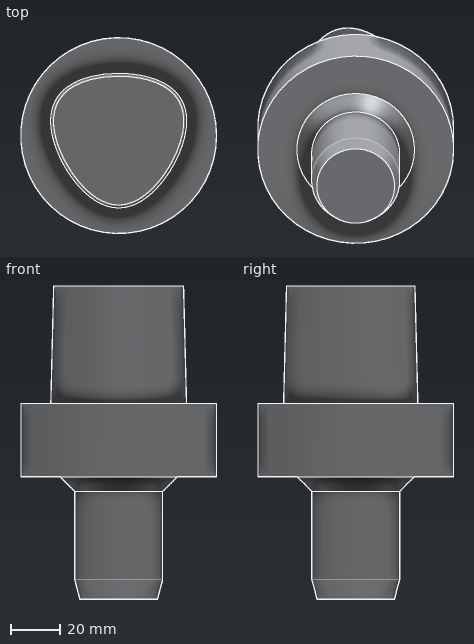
import cadquery as cq
import math

total_height = 128.0
tip_height = 8.0
collar_height = 6.0
flange_height = 30.0
taper_height = 48.0
shank_height = total_height - taper_height - flange_height - collar_height - tip_height

flange_radius = 80.0 / 2
shank_radius = 36.0 / 2
tip_radius = 31.7 / 2
collar_radius = 48.0 / 2

lobe_base_radius = 54.9 / 2
taper_ratio = 1 / 20
lobe_top_radius = lobe_base_radius - taper_height * taper_ratio / 2
lobe_eccentricity = 2.0
points_per_profile = 48

shank_bottom = tip_height
shank_top = shank_bottom + shank_height
flange_bottom = shank_top + collar_height
flange_top = flange_bottom + flange_height


def turned_body():
    """Revolve the tip, shank, conical collar and flange about Z."""
    half_section = [
        (0, 0),
        (tip_radius, 0),
        (shank_radius, shank_bottom),
        (shank_radius, shank_top),
        (collar_radius, flange_bottom),
        (flange_radius, flange_bottom),
        (flange_radius, flange_top),
        (0, flange_top),
    ]
    return cq.Workplane("XZ").polyline(half_section).close().revolve(360, (0, 0), (0, 1))


def lobed_point(mean_radius, angle):
    """Point on a three-lobed curve with one lobe pointing along -Y."""
    x = -mean_radius * math.sin(angle) - lobe_eccentricity * math.sin(2 * angle)
    y = mean_radius * math.cos(angle) - lobe_eccentricity * math.cos(2 * angle)
    return (x, y)


def lobed_profile(mean_radius):
    step = 2 * math.pi / points_per_profile
    return [lobed_point(mean_radius, i * step) for i in range(points_per_profile)]


def lobed_taper():
    """Loft the polygon taper from the flange face to its smaller top."""
    return (
        cq.Workplane("XY", origin=(0, 0, flange_top))
        .spline(lobed_profile(lobe_base_radius), periodic=True)
        .close()
        .workplane(offset=taper_height)
        .spline(lobed_profile(lobe_top_radius), periodic=True)
        .close()
        .loft(ruled=True)
    )


result = turned_body().union(lobed_taper())